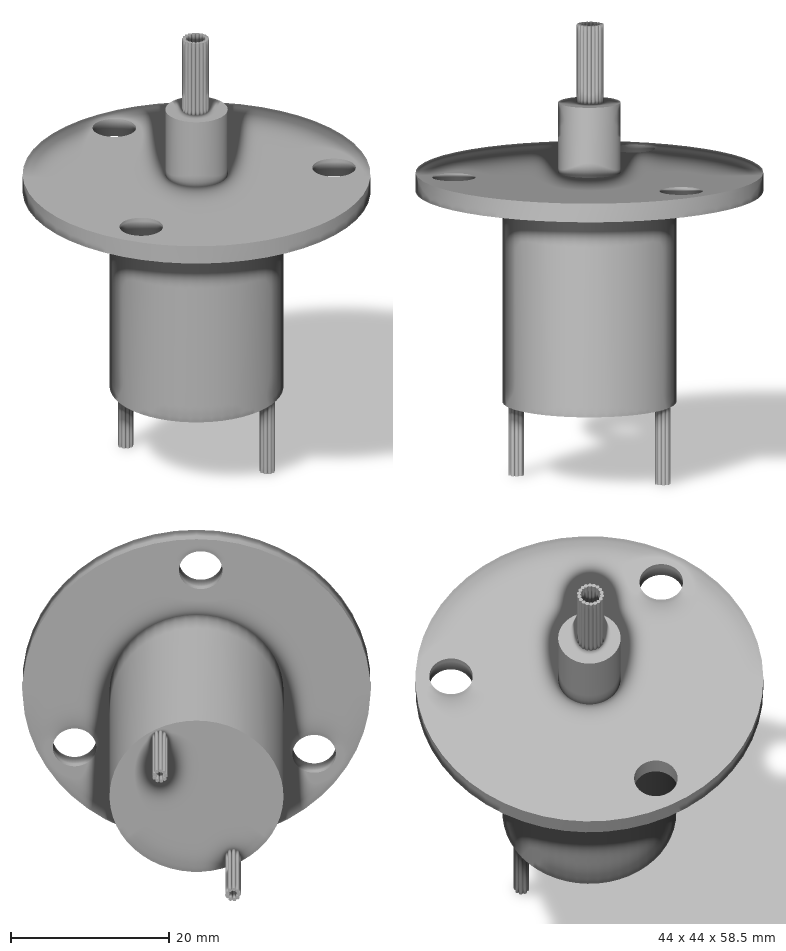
import cadquery as cq
import math

flange_diameter = 44.0
flange_thickness = 2.4
mount_hole_count = 3
mount_hole_diameter = 5.5
mount_hole_circle_radius = 17.5
first_mount_hole_angle = -90.0

housing_diameter = 22.0
housing_length = 27.1
hub_diameter = 7.9
hub_length = 9.0

wire_diameter = 0.5
wire_length = 10.0
wire_gap = 0.005
wire_root = 0.5
hub_wire_count = 18
housing_wire_count = hub_wire_count // 2
hub_bundle_y = -0.3
housing_bundle_x = 9.78
hub_wire_phase = 4.0
housing_wire_phase = 35.0

hub_top = flange_thickness + hub_length
housing_bottom = -housing_length


def cylinder(diameter, bottom, height):
    """Cylinder on the Z axis starting at the given height."""
    return cq.Workplane("XY").workplane(offset=bottom).circle(diameter / 2).extrude(height)


def make_body():
    """Flange, housing and hub as one turned shape."""
    housing = cylinder(housing_diameter, housing_bottom, housing_length)
    flange = cylinder(flange_diameter, 0, flange_thickness)
    hub = cylinder(hub_diameter, flange_thickness, hub_length)
    return housing.union(flange).union(hub)


def cut_mount_holes(body):
    """Drill the evenly spaced mounting holes through the flange."""
    holes = (
        cq.Workplane("XY")
        .polarArray(mount_hole_circle_radius, first_mount_hole_angle, 360, mount_hole_count)
        .circle(mount_hole_diameter / 2)
        .extrude(flange_thickness)
    )
    return body.cut(holes)


def wire_bundle(center_x, center_y, bottom, count, phase):
    """Ring of parallel wires standing almost in contact with their neighbours."""
    ring_radius = (wire_diameter + wire_gap) / 2 / math.sin(math.pi / count)
    return (
        cq.Workplane("XY", origin=(center_x, center_y, bottom))
        .polarArray(ring_radius, phase, 360, count, rotate=False)
        .circle(wire_diameter / 2)
        .extrude(wire_length + wire_root)
    )


def add_wires(body):
    """Add one bundle above the hub and two below the housing."""
    hub_bundle_bottom = hub_top - wire_root
    body = body.union(wire_bundle(0, hub_bundle_y, hub_bundle_bottom, hub_wire_count, hub_wire_phase))
    housing_bundle_bottom = housing_bottom - wire_length
    for side in (-1, 1):
        bundle_x = side * housing_bundle_x
        bundle = wire_bundle(bundle_x, 0, housing_bundle_bottom, housing_wire_count, housing_wire_phase)
        body = body.union(bundle)
    return body


result = add_wires(cut_mount_holes(make_body()))